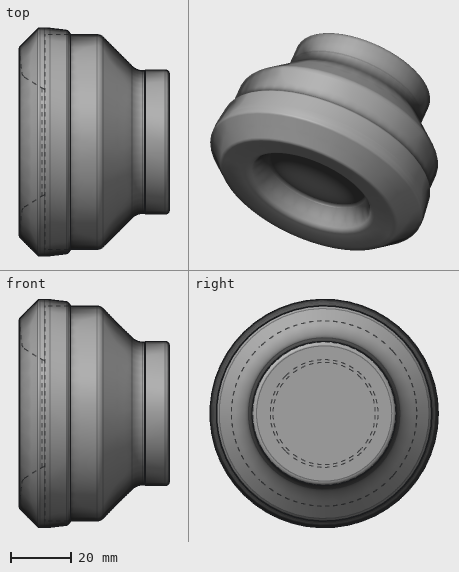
import cadquery as cq
import math


total_length = 50.0
ring_radius = 38.0
base_radius = 71.5 / 2
collar_radius = 48.0 / 2
neck_radius = 47.6 / 2

ring_end_x = 17.2
ring_end_wall = 0.15
rim_outer_radius = 31.45
rim_inner_radius = 30.4
bevel_end_x = ring_radius - rim_outer_radius
crown_end_x = 9.35
taper_end_x = 16.1
taper_end_radius = 37.15
rim_outer_round = 1.5
rim_inner_round = 7.6
bevel_round = 1.15
crown_round = 15.2
taper_round = 0.75

bowl_mouth_x = 1.1
bowl_mouth_radius = 22.0
bowl_mouth_round = 2.3
bowl_foot_x = 7.7
bowl_foot_radius = 17.9
foot_arc_x = 8.5
foot_arc_radius = 17.4
floor_x = 8.65
floor_radius = 17.0

shoulder_x = 27.05
shoulder_round = 2.9
neck_corner_x = shoulder_x + base_radius - neck_radius
neck_round = 4.9
step_start_x = 41.7
step_end_x = 42.1
collar_round = 1.5


def toward(start, target, distance):
    """Point at the given distance from start in the direction of target."""
    span = math.dist(start, target)
    return tuple(s + (t - s) * distance / span for s, t in zip(start, target))


def round_corner(profile, before, corner, after, radius):
    """Draw up to a corner and around it on a tangent arc of the given radius."""
    ahead = math.atan2(after[1] - corner[1], after[0] - corner[0])
    behind = math.atan2(before[1] - corner[1], before[0] - corner[0])
    half_angle = math.acos(math.cos(ahead - behind)) / 2
    tangent_length = radius / math.tan(half_angle)
    arc_start = toward(corner, before, tangent_length)
    arc_end = toward(corner, after, tangent_length)
    chord_middle = tuple((s + e) / 2 for s, e in zip(arc_start, arc_end))
    arc_middle = toward(corner, chord_middle, radius / math.sin(half_angle) - radius)
    return profile.lineTo(*arc_start).threePointArc(arc_middle, arc_end)


def draw_rounded(profile, corners):
    """Draw from the first corner to the last; each corner is (x, radius, round)."""
    for before, corner, after in zip(corners, corners[1:], corners[2:]):
        if corner[2] > 0:
            profile = round_corner(profile, before[:2], corner[:2], after[:2], corner[2])
        else:
            profile = profile.lineTo(*corner[:2])
    return profile.lineTo(*corners[-1][:2])


def turn(profile):
    """Close a profile and revolve it about the X axis."""
    return profile.close().revolve(360, (0, 0, 0), (1, 0, 0))


def make_ring():
    """Ring with a bevelled, tapered outside and a conical bowl down to the base."""
    outside = [
        (floor_x, base_radius, 0),
        (ring_end_x, base_radius, 0),
        (ring_end_x, base_radius + ring_end_wall, 0),
        (taper_end_x, taper_end_radius, taper_round),
        (crown_end_x, ring_radius, crown_round),
        (bevel_end_x, ring_radius, bevel_round),
        (0, rim_outer_radius, rim_outer_round),
        (0, rim_inner_radius, rim_inner_round),
        (bowl_mouth_x, bowl_mouth_radius, bowl_mouth_round),
        (bowl_foot_x, bowl_foot_radius, 0),
    ]
    profile = cq.Workplane("XY").moveTo(floor_x, base_radius)
    profile = draw_rounded(profile, outside)
    profile = profile.threePointArc((foot_arc_x, foot_arc_radius), (floor_x, floor_radius))
    return turn(profile)


def make_base():
    """Flange, 45 degree cone, shallow neck groove and rear collar."""
    outside = [
        (floor_x, 0, 0),
        (floor_x, base_radius, 0),
        (shoulder_x, base_radius, shoulder_round),
        (neck_corner_x, neck_radius, neck_round),
        (step_start_x, neck_radius, 0),
        (step_end_x, collar_radius, 0),
        (total_length, collar_radius, collar_round),
        (total_length, 0, 0),
    ]
    profile = cq.Workplane("XY").moveTo(floor_x, 0)
    return turn(draw_rounded(profile, outside))


ring = make_ring()
base = make_base()

result = cq.Compound.makeCompound([ring.val(), base.val()])